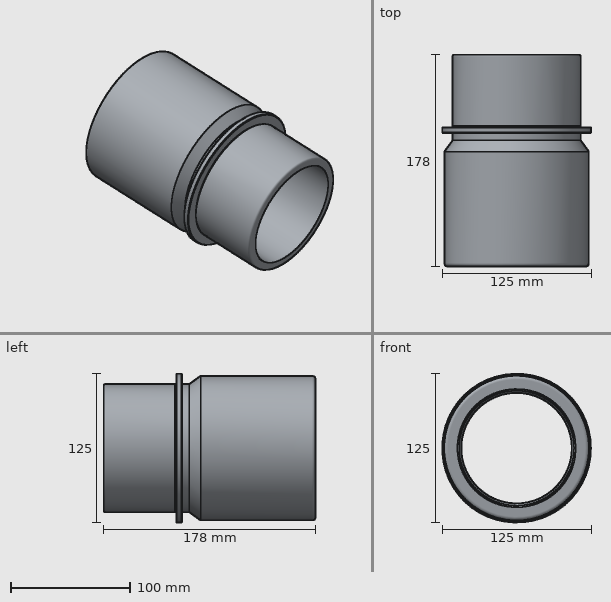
import cadquery as cq
import math

length = 178.0
socket_mouth_y = -length / 2
spigot_end_y = length / 2

spigot_radius = 54.0
body_radius = 60.7
flange_radius = 62.5
flange_width = 5.0
flange_to_spigot_end = 60.9
neck_length = 6.2
shoulder_length = 9.3
body_edge_radius = 3.0
spigot_edge_radius = 1.8
flange_edge_chamfer = 0.5
relief_width = 1.0
relief_depth = 1.0

bore_radius = 46.3
lead_in_radius = 48.2
lead_in_length = 2.7
mouth_chamfer_depth = 0.7
mouth_chamfer_width = 1.5

flange_back_y = spigot_end_y - flange_to_spigot_end
flange_front_y = flange_back_y - flange_width
shoulder_top_y = flange_front_y - neck_length
shoulder_base_y = shoulder_top_y - shoulder_length
lead_in_end_y = socket_mouth_y + mouth_chamfer_depth + lead_in_length

arc_offset_share = 1 - math.sqrt(0.5)
body_arc_offset = body_edge_radius * arc_offset_share
spigot_arc_offset = spigot_edge_radius * arc_offset_share

half_section = (
    cq.Workplane("XY")
    .moveTo(lead_in_radius + mouth_chamfer_width, socket_mouth_y)
    .lineTo(body_radius - body_edge_radius, socket_mouth_y)
    .threePointArc(
        (body_radius - body_arc_offset, socket_mouth_y + body_arc_offset),
        (body_radius, socket_mouth_y + body_edge_radius),
    )
    .lineTo(body_radius, shoulder_base_y)
    .lineTo(spigot_radius, shoulder_top_y)
    .lineTo(spigot_radius, flange_front_y)
    .lineTo(flange_radius - flange_edge_chamfer, flange_front_y)
    .lineTo(flange_radius, flange_front_y + flange_edge_chamfer)
    .lineTo(flange_radius, flange_back_y - flange_edge_chamfer)
    .lineTo(flange_radius - flange_edge_chamfer, flange_back_y)
    .lineTo(spigot_radius - relief_depth, flange_back_y)
    .lineTo(spigot_radius, flange_back_y + relief_width)
    .lineTo(spigot_radius, spigot_end_y - spigot_edge_radius)
    .threePointArc(
        (spigot_radius - spigot_arc_offset, spigot_end_y - spigot_arc_offset),
        (spigot_radius - spigot_edge_radius, spigot_end_y),
    )
    .lineTo(bore_radius, spigot_end_y)
    .lineTo(bore_radius, lead_in_end_y)
    .lineTo(lead_in_radius, socket_mouth_y + mouth_chamfer_depth)
    .close()
)

result = half_section.revolve(360, (0, 0, 0), (0, 1, 0))